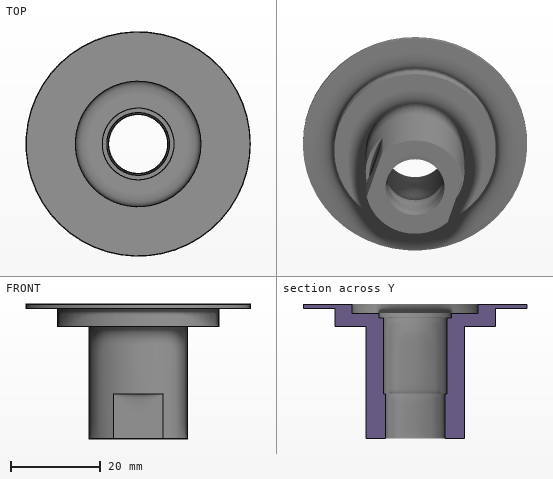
import cadquery as cq

total_height = 30
flange_diameter = 50
flange_thickness = 1

shoulder_diameter = 36
shoulder_thickness = 4
sleeve_diameter = 22

flat_height = 10
across_flats = 19

recess_diameter = 28
recess_depth = 2
seat_diameter = 16
seat_depth = 1
bore_diameter = 14
lower_bore_diameter = 13.15
lower_bore_height = 10

flange_bottom = total_height - flange_thickness
shoulder_bottom = flange_bottom - shoulder_thickness
recess_floor = total_height - recess_depth
seat_floor = recess_floor - seat_depth


def cylinder(diameter, bottom, top):
    """Cylinder on the Z axis between two levels."""
    return cq.Workplane("XY").workplane(offset=bottom).circle(diameter / 2).extrude(top - bottom)


def wrench_flat(side):
    """Block that cuts one flat; side is -1 or +1 along Y."""
    depth = (sleeve_diameter - across_flats) / 2
    return (
        cq.Workplane("XY")
        .center(0, side * (across_flats + depth) / 2)
        .rect(sleeve_diameter, depth)
        .extrude(flat_height)
    )


body = cylinder(sleeve_diameter, 0, shoulder_bottom)
body = body.union(cylinder(shoulder_diameter, shoulder_bottom, flange_bottom))
body = body.union(cylinder(flange_diameter, flange_bottom, total_height))
for side in (-1, 1):
    body = body.cut(wrench_flat(side))

body = body.cut(cylinder(recess_diameter, recess_floor, total_height))
body = body.cut(cylinder(seat_diameter, seat_floor, recess_floor))
body = body.cut(cylinder(bore_diameter, lower_bore_height, seat_floor))
body = body.cut(cylinder(lower_bore_diameter, 0, lower_bore_height))

result = body